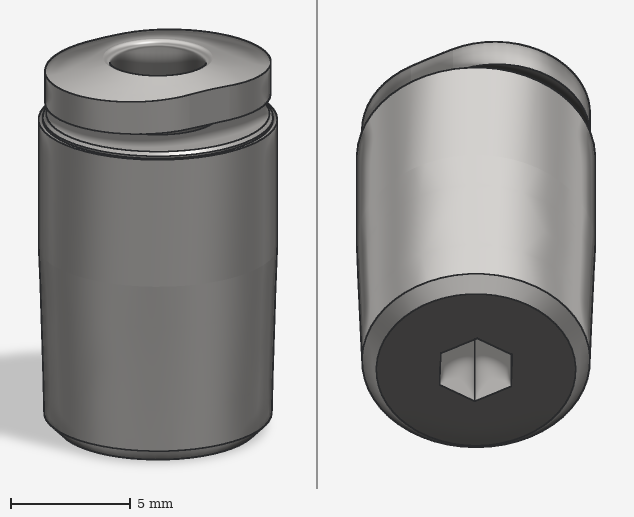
import cadquery as cq
import math

total_height = 16.4
base_chamfer = 0.6
taper_top_z = 8.0
shoulder_z = 13.65
collar_chamfer_z = 13.75
collar_top_z = 13.9
head_bottom_z = 14.6

body_radius = 10.0 / 2
taper_end_radius = 9.55 / 2
collar_radius = 9.65 / 2
collar_chamfer = collar_top_z - collar_chamfer_z

head_width = 7.8
head_length = 9.8
head_rim_drop = 0.42
neck_radius = 5.2 / 2
neck_fillet = 0.4

bore_radius = 4.0 / 2
bore_bottom_z = taper_top_z
bore_lip_fillet = 0.3
hex_across_flats = 3.0
hex_across_corners = hex_across_flats / math.cos(math.pi / 6)


def make_body():
    """Revolved lower body: chamfered base, tapered stretch, cylinder and stepped collar."""
    return (
        cq.Workplane("XZ")
        .lineTo(taper_end_radius - base_chamfer, 0)
        .lineTo(taper_end_radius, base_chamfer)
        .lineTo(body_radius, taper_top_z)
        .lineTo(body_radius, shoulder_z)
        .lineTo(collar_radius, shoulder_z)
        .lineTo(collar_radius, collar_chamfer_z)
        .lineTo(collar_radius - collar_chamfer, collar_top_z)
        .lineTo(0, collar_top_z)
        .close()
        .revolve(360, (0, 0, 0), (0, 1, 0))
    )


def make_neck():
    """Neck that flares with a concave round into the underside of the head."""
    fillet_start_z = head_bottom_z - neck_fillet
    return (
        cq.Workplane("XZ")
        .moveTo(0, collar_top_z)
        .lineTo(neck_radius, collar_top_z)
        .lineTo(neck_radius, fillet_start_z)
        .radiusArc((neck_radius + neck_fillet, head_bottom_z), neck_fillet)
        .lineTo(0, head_bottom_z)
        .close()
        .revolve(360, (0, 0, 0), (0, 1, 0))
    )


def make_head():
    """Obround head, long along Y, whose top is a shallow cone around a flat centre."""
    rim_radius = head_length / 2
    flat_radius = bore_radius + bore_lip_fillet
    obround = (
        cq.Workplane("XY", origin=(0, 0, head_bottom_z))
        .slot2D(head_length, head_width, 90)
        .extrude(total_height - head_bottom_z)
    )
    coned_blank = (
        cq.Workplane("XZ")
        .moveTo(0, head_bottom_z)
        .lineTo(rim_radius, head_bottom_z)
        .lineTo(rim_radius, total_height - head_rim_drop)
        .lineTo(flat_radius, total_height)
        .lineTo(0, total_height)
        .close()
        .revolve(360, (0, 0, 0), (0, 1, 0))
    )
    return obround.intersect(coned_blank)


def make_bore():
    """Round tube bore from the top, widened by a convex round at its lip."""
    return (
        cq.Workplane("XZ")
        .moveTo(0, bore_bottom_z)
        .lineTo(bore_radius, bore_bottom_z)
        .lineTo(bore_radius, total_height - bore_lip_fillet)
        .radiusArc((bore_radius + bore_lip_fillet, total_height), bore_lip_fillet)
        .lineTo(0, total_height)
        .close()
        .revolve(360, (0, 0, 0), (0, 1, 0))
    )


def make_hex_socket():
    """Through hexagon below the bore, with two corners on the Y axis."""
    return (
        cq.Workplane("XY")
        .transformed(rotate=(0, 0, 90))
        .polygon(6, hex_across_corners)
        .extrude(bore_bottom_z)
    )


closed_fitting = make_body().union(make_neck()).union(make_head())
result = closed_fitting.cut(make_bore()).cut(make_hex_socket())